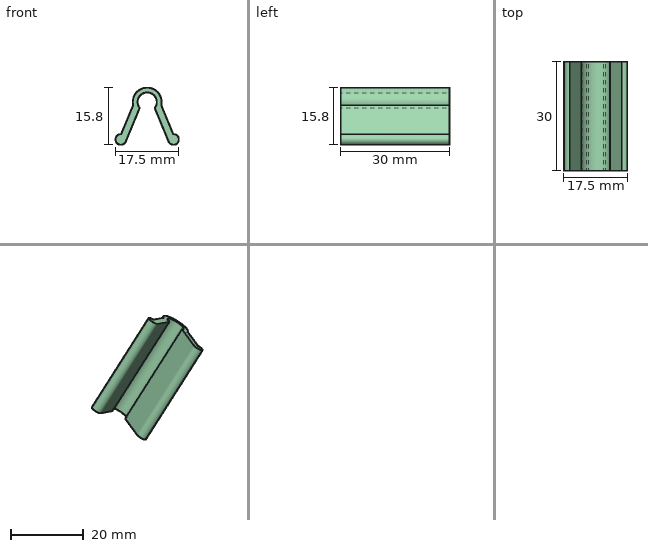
import cadquery as cq
import math

length = 30.0
overall_width = 17.5
overall_height = 15.78
hub_radius = 4.0
bore_radius = 2.6
bead_radius = 1.5
arm_thickness = 2.0
arm_angle = 22.5

bead_x = overall_width / 2 - bead_radius
bead_z = hub_radius + bead_radius - overall_height

along = (-math.sin(math.radians(arm_angle)), -math.cos(math.radians(arm_angle)))
inward = (math.cos(math.radians(arm_angle)), -math.sin(math.radians(arm_angle)))

inner_offset = -bead_x * inward[0] + bead_z * inward[1] + bead_radius
outer_offset = inner_offset - arm_thickness


def face_point(offset, distance):
    """Point on a left arm face, a given distance along the arm from the hub axis."""
    return (
        offset * inward[0] + distance * along[0],
        offset * inward[1] + distance * along[1],
    )


def along_at_circle(offset, radius):
    """Distance along the arm where a face leaves a circle around the hub axis."""
    return math.sqrt(radius**2 - offset**2)


def mirrored(point):
    return (-point[0], point[1])


def hub():
    """C-shaped hub, open downward between the arms."""
    outer_end = face_point(outer_offset, along_at_circle(outer_offset, hub_radius))
    inner_end = face_point(inner_offset, along_at_circle(inner_offset, bore_radius))
    return (
        cq.Workplane("XZ")
        .moveTo(*outer_end)
        .threePointArc((0, hub_radius), mirrored(outer_end))
        .lineTo(*mirrored(inner_end))
        .threePointArc((0, bore_radius), inner_end)
        .close()
        .extrude(length / 2, both=True)
    )


def left_arm():
    """Flat arm from the hub to the bead, with the rounded bead at its foot."""
    bead_distance = -bead_x * along[0] + bead_z * along[1]
    arm = (
        cq.Workplane("XZ")
        .polyline([
            face_point(outer_offset, along_at_circle(outer_offset, hub_radius)),
            face_point(outer_offset, bead_distance),
            face_point(inner_offset, bead_distance),
            face_point(inner_offset, along_at_circle(inner_offset, bore_radius)),
        ])
        .close()
        .extrude(length / 2, both=True)
    )
    bead = (
        cq.Workplane("XZ")
        .center(-bead_x, bead_z)
        .circle(bead_radius)
        .extrude(length / 2, both=True)
    )
    return arm.union(bead)


arm = left_arm()
result = hub().union(arm).union(arm.mirror("YZ"))